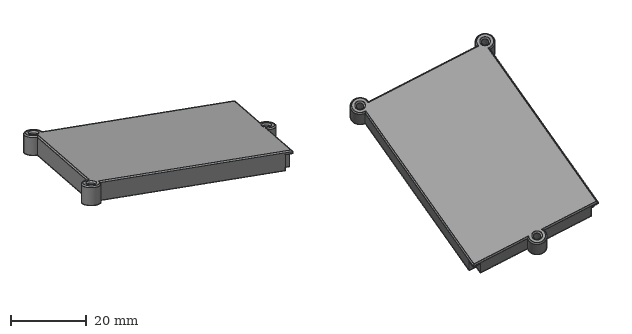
import cadquery as cq

overall_width = 43.7
overall_length = 63.8
height = 5.5

boss_diameter = 5.2
hole_diameter = 1.9
countersink_angle = 90
countersink = 0.45
edge_chamfer = 0.4

plate_width = overall_width - boss_diameter
plate_front = -overall_length / 2 + boss_diameter / 2
plate_back_inset = 3.25
plate_back = overall_length / 2 - plate_back_inset
plate_length = plate_back - plate_front

notch_size = 2.2
notch_height = 4.5

boss_centers = [
    (-plate_width / 2, plate_front),
    (plate_width / 2, plate_front),
    (0, overall_length / 2 - boss_diameter / 2),
]


def make_body():
    """Plate and bosses fused, with the whole top outline chamfered."""
    plate = cq.Workplane("XY").rect(plate_width, plate_length).extrude(height)
    plate = plate.translate((0, (plate_front + plate_back) / 2, 0))
    bosses = cq.Workplane("XY").pushPoints(boss_centers).circle(boss_diameter / 2).extrude(height)
    return plate.union(bosses).faces(">Z").edges().chamfer(edge_chamfer)


def cut_back_corner_notches(body):
    """Cut a square notch below the top skin at each back corner."""
    for side in (-1, 1):
        notch = cq.Workplane("XY").rect(notch_size, notch_size).extrude(notch_height)
        notch_x = side * (plate_width - notch_size) / 2
        notch_y = plate_back - notch_size / 2
        body = body.cut(notch.translate((notch_x, notch_y, 0)))
    return body


def drill_bosses(body):
    """Through hole with a countersink in every boss."""
    return (
        body.faces(">Z").workplane(origin=(0, 0, height))
        .pushPoints(boss_centers)
        .cskHole(hole_diameter, hole_diameter + 2 * countersink, countersink_angle)
    )


result = drill_bosses(cut_back_corner_notches(make_body()))